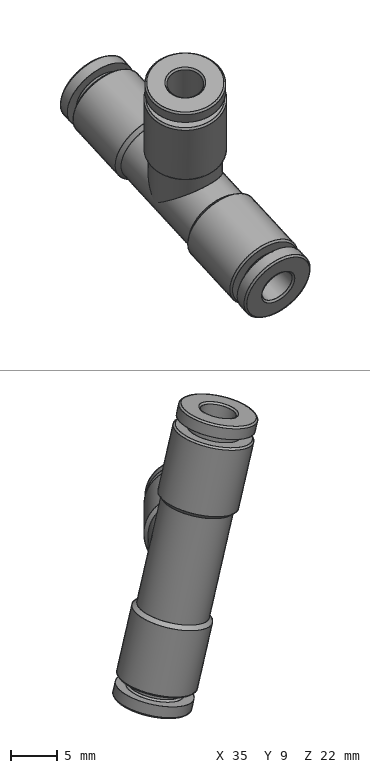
import cadquery as cq

overall_length = 35.0
arm_length = overall_length / 2
branch_length = 17.5

body_diameter = 8.1
sleeve_diameter = 9.0
collar_diameter = 8.8
neck_diameter = 6.0
socket_diameter = 4.0
bore_diameter = 3.0

collar_thickness = 1.5
sleeve_start = 2.52
run_sleeve_end = 11.13
branch_sleeve_end = 11.48
socket_depth = 9.8

edge_chamfer = 0.2
mouth_chamfer = 0.2
neck_flare = 0.2


def revolve_arm(length, sleeve_end):
    """Solid arm along +Z from the origin to its open end."""
    body_radius = body_diameter / 2
    sleeve_radius = sleeve_diameter / 2
    collar_radius = collar_diameter / 2
    neck_radius = neck_diameter / 2
    sleeve_step = sleeve_radius - body_radius
    collar_bottom = length - collar_thickness
    sleeve_top = length - sleeve_start
    sleeve_bottom = length - sleeve_end
    outline = [
        (0, 0),
        (body_radius, 0),
        (body_radius, sleeve_bottom),
        (sleeve_radius, sleeve_bottom + sleeve_step),
        (sleeve_radius, sleeve_top - edge_chamfer),
        (sleeve_radius - edge_chamfer, sleeve_top),
        (neck_radius, sleeve_top),
        (neck_radius, collar_bottom - neck_flare),
        (neck_radius + neck_flare, collar_bottom),
        (collar_radius, collar_bottom),
        (collar_radius, length - edge_chamfer),
        (collar_radius - edge_chamfer, length),
        (0, length),
    ]
    return cq.Workplane("XZ").polyline(outline).close().revolve(360, (0, 0), (0, 1))


def revolve_passage(length):
    """Bore of an arm: chamfered mouth, tube socket, 45 degree taper, inner bore."""
    bore_radius = bore_diameter / 2
    socket_radius = socket_diameter / 2
    socket_bottom = length - socket_depth
    taper_length = socket_radius - bore_radius
    outline = [
        (0, 0),
        (bore_radius, 0),
        (bore_radius, socket_bottom - taper_length),
        (socket_radius, socket_bottom),
        (socket_radius, length - mouth_chamfer),
        (socket_radius + mouth_chamfer, length),
        (0, length),
    ]
    return cq.Workplane("XZ").polyline(outline).close().revolve(360, (0, 0), (0, 1))


def join_three_ways(branch_shape, run_shape):
    """Join a shape along +Z with copies of another turned to +X and -X."""
    joined = branch_shape
    for turn in (90, -90):
        joined = joined.union(run_shape.rotate((0, 0, 0), (0, 1, 0), turn))
    return joined


arms = join_three_ways(
    revolve_arm(branch_length, branch_sleeve_end),
    revolve_arm(arm_length, run_sleeve_end),
)
passages = join_three_ways(revolve_passage(branch_length), revolve_passage(arm_length))
result = arms.cut(passages)